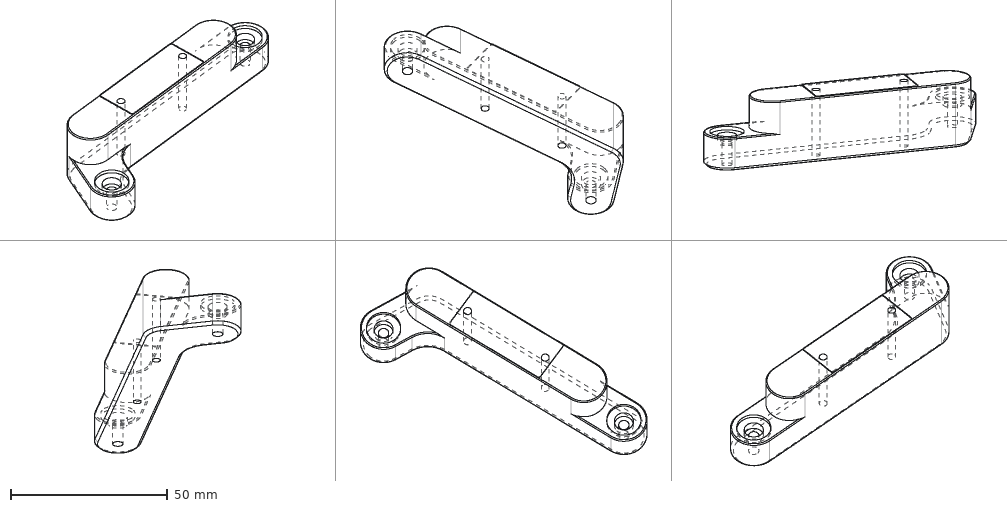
import cadquery as cq
import math

end_radius = 7.5
body_pitch = 59.6
upper_hole_y = 75.0
lower_hole_x = 15.45
arm_angle = 25.0
inner_fillet = 9.7

arm_height = 11.0
body_height = 21.7
panel_rise = 0.3
total_height = body_height + panel_rise

bottom_chamfer = 1.0
top_chamfer = 0.4

panel_length = 34.8
panel_width = 14.2
panel_corner_radius = 0.7
panel_hole_pitch = 29.9
panel_hole_diameter = 2.5

recess_diameter = 11.0
recess_depth = 1.2
bore_diameter = 6.1
bore_depth = 2.6
hole_diameter = 3.3

body_middle_y = body_pitch / 2
lower_hole_y = -lower_hole_x * math.tan(math.radians(arm_angle))
mounting_points = [(0, upper_hole_y), (lower_hole_x, lower_hole_y)]


def stadium(start, end, height):
    """Round-ended bar standing on z = 0 between two plan points."""
    dx = end[0] - start[0]
    dy = end[1] - start[1]
    pitch = math.hypot(dx, dy)
    angle = math.degrees(math.atan2(dy, dx))
    return (
        cq.Workplane("XY")
        .center((start[0] + end[0]) / 2, (start[1] + end[1]) / 2)
        .slot2D(pitch + 2 * end_radius, 2 * end_radius, angle)
        .extrude(height)
    )


def base_plate():
    """Low bent plate that carries both mounting holes."""
    slope = math.radians(arm_angle)
    corner_y = end_radius / math.cos(slope) - end_radius * math.tan(slope)
    corner = (end_radius, corner_y, arm_height / 2)
    upper_bar = stadium((0, 0), mounting_points[0], arm_height)
    lower_arm = stadium((0, 0), mounting_points[1], arm_height)
    plate = upper_bar.union(lower_arm).clean()
    plate = plate.edges(cq.selectors.NearestToPointSelector(corner)).fillet(inner_fillet)
    return plate.faces(">Z").chamfer(top_chamfer)


def body():
    """Tall round-ended block."""
    block = stadium((0, 0), (0, body_pitch), body_height)
    return block.faces(">Z").chamfer(top_chamfer)


def panel():
    """Thin rounded rectangle on top of the body."""
    return (
        cq.Workplane("XY", origin=(0, body_middle_y, body_height))
        .rect(panel_width, panel_length)
        .extrude(panel_rise)
        .edges("|Z")
        .fillet(panel_corner_radius)
    )


def mounting_hole_cutter(point):
    """Through hole with a deep bore and a shallow, wide recess above it."""
    recess_floor = arm_height - recess_depth
    cutter = cq.Workplane("XY").circle(hole_diameter / 2).extrude(arm_height)
    bore = (
        cq.Workplane("XY", origin=(0, 0, recess_floor - bore_depth))
        .circle(bore_diameter / 2)
        .extrude(bore_depth)
    )
    recess = (
        cq.Workplane("XY", origin=(0, 0, recess_floor))
        .circle(recess_diameter / 2)
        .extrude(recess_depth)
    )
    return cutter.union(bore).union(recess).translate((point[0], point[1], 0))


result = base_plate().union(body()).clean()
result = result.faces("<Z").chamfer(bottom_chamfer)
result = result.union(panel())

for mounting_point in mounting_points:
    result = result.cut(mounting_hole_cutter(mounting_point))

panel_holes = (
    cq.Workplane("XY", origin=(0, body_middle_y, 0))
    .rarray(1, panel_hole_pitch, 1, 2)
    .circle(panel_hole_diameter / 2)
    .extrude(total_height)
)
result = result.cut(panel_holes)